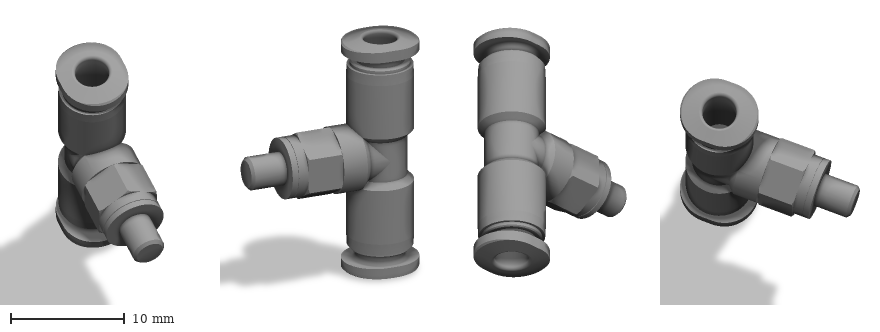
import cadquery as cq
import math

half_length = 11.0
body_dia = 6.0
waist_dia = 4.85
waist_end = 1.87
body_taper_start = 7.55
body_shoulder = 8.54
shoulder_dia = 5.9
lip_dia = 5.4
lip_top = 8.93
lip_chamfer = 0.1
flare = (body_dia - waist_dia) / 2

neck_dia = 4.4
neck_fillet = 0.33
flange_bottom = 9.8
flange_stretch = 1.0
flange_length = body_dia + flange_stretch
flange_crown_drop = 0.26
rim_chamfer = 0.15

tube_bore_dia = 3.0
tube_bore_floor = 3.3
mouth_round = 0.29
mouth_dia = tube_bore_dia + 2 * mouth_round
passage_dia = 0.9

branch_waist_end = 1.85
branch_end = 4.69
hex_end = 8.0
hex_flats = 5.5
hex_corner_dia = hex_flats / math.cos(math.radians(30))
hex_end_dia = 5.95
hex_chamfer = 0.13
ring_dia = 5.5
ring_end = 9.5
groove_start = 8.89
groove_width = 0.07
groove_depth = 0.07
stud_dia = 3.0
stud_end = 12.8
stud_chamfer = 0.26


def run_half():
    """Upper half of the run: waist, flared body, lip and collar neck."""
    neck_radius = neck_dia / 2
    fillet_mid = neck_fillet * (1 - math.sqrt(0.5))
    return (
        cq.Workplane("XZ")
        .lineTo(waist_dia / 2, 0)
        .lineTo(waist_dia / 2, waist_end)
        .lineTo(body_dia / 2, waist_end + flare)
        .lineTo(body_dia / 2, body_taper_start)
        .lineTo(shoulder_dia / 2, body_shoulder)
        .lineTo(lip_dia / 2, body_shoulder)
        .lineTo(lip_dia / 2, lip_top - lip_chamfer)
        .lineTo(lip_dia / 2 - lip_chamfer, lip_top)
        .lineTo(neck_radius, lip_top)
        .lineTo(neck_radius, flange_bottom - neck_fillet)
        .threePointArc(
            (neck_radius + fillet_mid, flange_bottom - fillet_mid),
            (neck_radius + neck_fillet, flange_bottom),
        )
        .lineTo(0, flange_bottom)
        .close()
        .revolve(360, (0, 0, 0), (0, 1, 0))
    )


def flange():
    """Flat-sided collar flange with a conical crown and a chamfered rim."""
    crown_edge = half_length - flange_crown_drop
    blank = (
        cq.Workplane("XY")
        .workplane(offset=flange_bottom)
        .slot2D(flange_length, body_dia)
        .extrude(half_length - flange_bottom)
    )
    crown = (
        cq.Workplane("XZ")
        .moveTo(0, flange_bottom)
        .lineTo(flange_length / 2, flange_bottom)
        .lineTo(flange_length / 2, crown_edge - rim_chamfer)
        .lineTo(flange_length / 2 - rim_chamfer, crown_edge)
        .lineTo(mouth_dia / 2, half_length)
        .lineTo(0, half_length)
        .close()
        .revolve(360, (0, 0, 0), (0, 1, 0))
    )
    return blank.intersect(crown)


def tube_bore():
    """Blind tube bore with a rounded mouth."""
    bore_radius = tube_bore_dia / 2
    round_mid = mouth_round * (1 - math.sqrt(0.5))
    return (
        cq.Workplane("XZ")
        .moveTo(0, tube_bore_floor)
        .lineTo(bore_radius, tube_bore_floor)
        .lineTo(bore_radius, half_length - mouth_round)
        .threePointArc(
            (bore_radius + round_mid, half_length - round_mid),
            (mouth_dia / 2, half_length),
        )
        .lineTo(0, half_length)
        .close()
        .revolve(360, (0, 0, 0), (0, 1, 0))
    )


def branch_turning():
    """Round parts of the branch: waist, flare, ring with groove, and stud."""
    ring_radius = ring_dia / 2
    groove_end = groove_start + groove_width
    return (
        cq.Workplane("XY")
        .lineTo(0, waist_dia / 2)
        .lineTo(branch_waist_end, waist_dia / 2)
        .lineTo(branch_waist_end + flare, body_dia / 2)
        .lineTo(branch_end, body_dia / 2)
        .lineTo(branch_end, ring_radius)
        .lineTo(groove_start, ring_radius)
        .lineTo(groove_start, ring_radius - groove_depth)
        .lineTo(groove_end, ring_radius - groove_depth)
        .lineTo(groove_end, ring_radius)
        .lineTo(ring_end, ring_radius)
        .lineTo(ring_end, stud_dia / 2)
        .lineTo(stud_end - stud_chamfer, stud_dia / 2)
        .lineTo(stud_end, stud_dia / 2 - stud_chamfer)
        .lineTo(stud_end, 0)
        .close()
        .revolve(360, (0, 0, 0), (1, 0, 0))
    )


def branch_hex():
    """Hexagon with corners up and down, its corners turned off at both ends."""
    hexagon = (
        cq.Workplane("YZ")
        .workplane(offset=branch_end)
        .transformed(rotate=(0, 0, 90))
        .polygon(6, hex_corner_dia)
        .extrude(hex_end - branch_end)
    )
    envelope = (
        cq.Workplane("XY")
        .moveTo(branch_end, 0)
        .lineTo(branch_end, hex_end_dia / 2)
        .lineTo(branch_end + hex_chamfer, hex_corner_dia / 2)
        .lineTo(hex_end - hex_chamfer, hex_corner_dia / 2)
        .lineTo(hex_end, hex_end_dia / 2)
        .lineTo(hex_end, 0)
        .close()
        .revolve(360, (0, 0, 0), (1, 0, 0))
    )
    return hexagon.intersect(envelope)


upper_half = run_half().union(flange()).cut(tube_bore())
run = upper_half.union(upper_half.mirror("XY"))
passage = cq.Workplane("XY").circle(passage_dia / 2).extrude(half_length, both=True)

result = run.union(branch_turning()).union(branch_hex()).cut(passage)